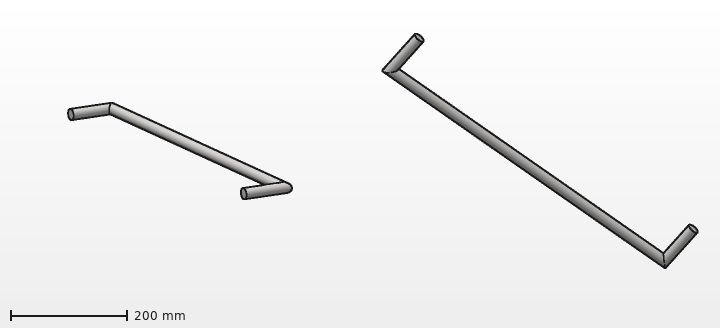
import cadquery as cq

length = 620.0
depth = 90.0
diameter = 20.0

radius = diameter / 2
leg_offset = length / 2 - radius
grip_offset = depth / 2 - radius

centreline = (
    cq.Workplane("XY")
    .moveTo(-leg_offset, -depth / 2)
    .lineTo(-leg_offset, grip_offset)
    .lineTo(leg_offset, grip_offset)
    .lineTo(leg_offset, -depth / 2)
)

foot_plane = cq.Plane(origin=(-leg_offset, -depth / 2, 0), xDir=(1, 0, 0), normal=(0, 1, 0))
result = cq.Workplane(foot_plane).circle(radius).sweep(centreline, transition="right")